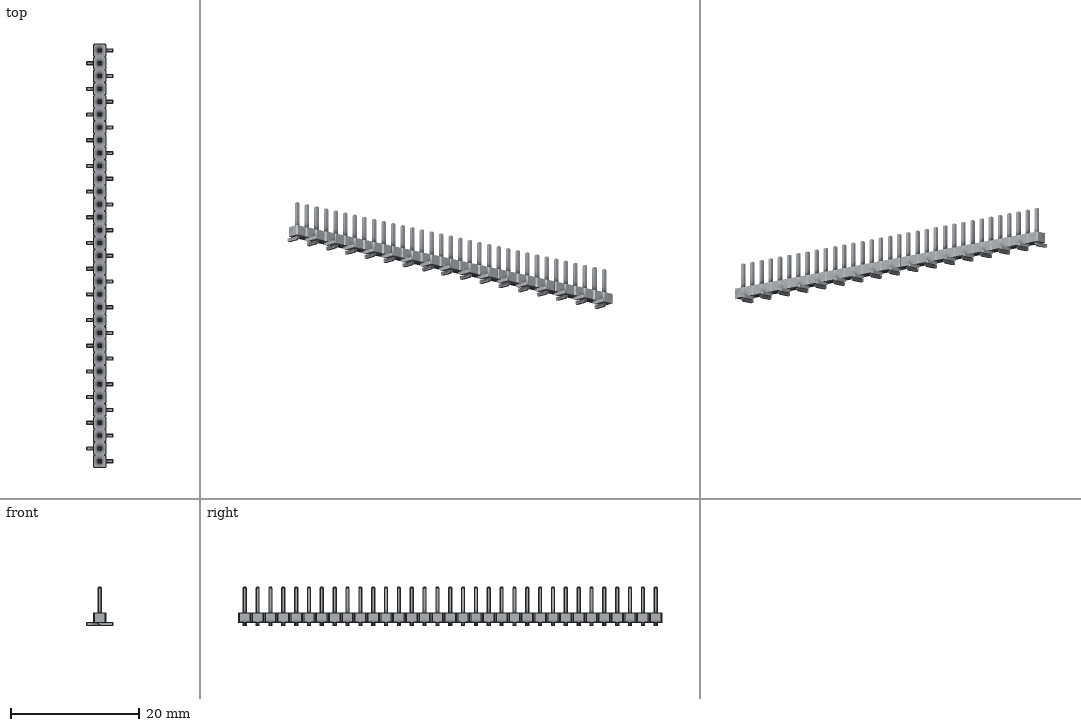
import cadquery as cq

pin_count = 33
pitch = 2.0
total_width = 4.2
total_height = 6.0

body_width = pitch
body_bottom = 0.5
body_top = 2.0
body_height = body_top - body_bottom
corner_chamfer = 0.2

pin_side = 0.5
tip_length = pin_side / 4
tip_side = pin_side / 2
leg_reach = total_width / 2
bend_radius = pin_side
half_pin = pin_side / 2


def body_block(y):
    """One body segment with its four vertical edges chamfered."""
    block = cq.Workplane("XY").box(body_width, pitch, body_height, centered=(True, True, False))
    block = block.edges("|Z").chamfer(corner_chamfer)
    return block.translate((0, y, body_bottom))


def tapered_tip(base_plane):
    """Pyramid frustum that ends the square wire, growing along the plane's normal."""
    return (
        cq.Workplane(base_plane)
        .rect(pin_side, pin_side)
        .workplane(offset=tip_length)
        .rect(tip_side, tip_side)
        .loft(ruled=True)
    )


def pin():
    """L-shaped pin whose leg points to +X, with the outside of its bend rounded."""
    post_end = total_height - tip_length
    leg_end = leg_reach - tip_length
    bend_start = bend_radius - half_pin
    wire = (
        cq.Workplane("XZ")
        .moveTo(bend_start, 0)
        .lineTo(leg_end, 0)
        .lineTo(leg_end, pin_side)
        .lineTo(half_pin, pin_side)
        .lineTo(half_pin, post_end)
        .lineTo(-half_pin, post_end)
        .lineTo(-half_pin, bend_radius)
        .radiusArc((bend_start, 0), -bend_radius)
        .close()
        .extrude(half_pin, both=True)
    )
    post_tip = tapered_tip(cq.Plane(origin=(0, 0, post_end), xDir=(1, 0, 0), normal=(0, 0, 1)))
    leg_tip = tapered_tip(cq.Plane(origin=(leg_end, 0, half_pin), xDir=(0, 1, 0), normal=(1, 0, 0)))
    return wire.union(post_tip).union(leg_tip)


right_pin = pin()
left_pin = right_pin.rotate((0, 0, 0), (0, 0, 1), 180)
first_y = -(pin_count - 1) * pitch / 2

segments = []
for index in range(pin_count):
    y = first_y + index * pitch
    side_pin = right_pin if index % 2 == 0 else left_pin
    segment = body_block(y).union(side_pin.translate((0, y, 0)))
    segments.append(segment.val())

result = cq.Workplane(segments[0].fuse(*segments[1:])).clean()